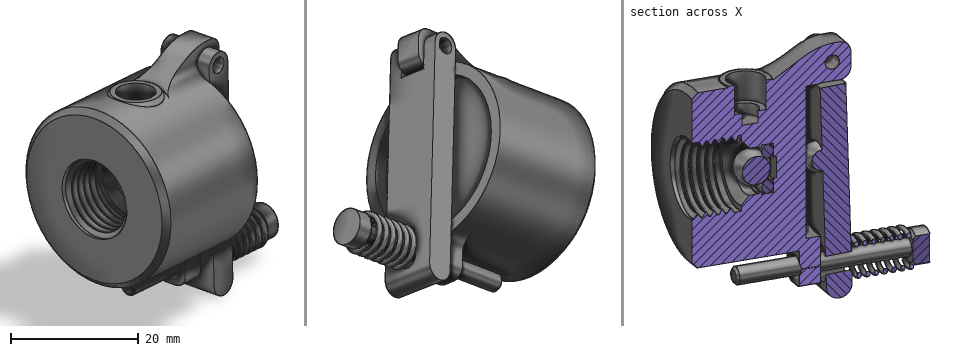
import cadquery as cq
import math


housing_radius = 15.0
housing_length = 21.85
front_chamfer = 1.0
recess_radius = 13.0
recess_depth = 2.25
root_fillet = 3.0
joint_depth = 2.0

thread_major_radius = 13.3 / 2
thread_minor_radius = 11.7 / 2
thread_pitch = 1.41
thread_start = 0.7
thread_turns = 5
ridge_root_width = 1.3
ridge_crest_width = 0.2
ridge_embed = 0.1
run_in_length = 2.8
run_in_angle = 60.0
inlet_depth = 8.5
inlet_floor_radius = 11.4 / 2
inlet_cone_half_angle = 45.0
inlet_cone_end_radius = 8.65 / 2
lip_radius = 8.2 / 2
lip_length = 0.5

ball_radius = 3.0
ring_mean_radius = 3.5
ring_wire_radius = 2.0 / 2
ring_outer_radius = ring_mean_radius + ring_wire_radius
ring_y = 13.0
relief_radius = ring_mean_radius - ring_wire_radius
relief_depth = 0.5
ball_y = ring_y - math.sqrt((ball_radius + ring_wire_radius) ** 2 - ring_mean_radius**2)

port_y = 10.0
port_top_z = 15.12
port_rim_radius = 8.2 / 2
port_draft = 34.0
port_radius = 6.35 / 2
port_depth = 5.0
port_tip_radius = 4.4 / 2
port_tip_depth = 2.0

hinge_z = 16.25
hinge_lug_reach = 3.25
hinge_lug_width = 4.6
hinge_lug_corner = 2.0
hinge_lug_hole = 2.35
hinge_lug_flat = 0.4
hinge_lug_arc_radius = 10.0
hinge_lug_slope = 30.0

screw_z = -18.0
screw_lug_width = 6.0
screw_lug_front = 18.4
screw_lug_back = 22.1
screw_lug_bottom = -21.0
screw_lug_corner = 2.0
screw_lug_hole = 3.5
screw_lug_hole_round = 0.5

arm_width = 10.0
arm_thickness = 4.5
arm_length = 38.0
arm_tilt = 1.85
arm_slot_width = 5.0
arm_slot_depth = 4.0
arm_hinge_hole = 2.7
arm_screw_slot_width = 3.5
arm_screw_slot_length = 6.5
button_radius = 2.5

screw_diameter = 3.0
screw_length = 30.0
screw_head_diameter = 6.0
screw_head_height = 3.0
screw_head_chamfer = 0.5
screw_end_chamfer = 0.45
screw_back = 40.89

spring_wire_radius = 0.4
spring_mean_radius = 3.2
spring_pitch = 1.5
spring_height = 10.0
spring_start_angle = 240.0
spring_inset = 0.12

half_thickness = arm_thickness / 2
hinge_y = housing_length + half_thickness
screw_head_face = screw_back - screw_head_height


def y_cylinder(radius, y_start, y_end, z=0.0):
    """Cylinder along +Y between two Y positions."""
    return cq.Workplane("XZ", origin=(0, y_start, z)).circle(radius).extrude(y_start - y_end)


def x_cylinder(diameter, length, y=0.0, z=0.0):
    """Cylinder along X, centred on X = 0."""
    return cq.Workplane("YZ", origin=(0, y, z)).circle(diameter / 2).extrude(length / 2, both=True)


def root_blend(half_width, side, y_start, y_end):
    """Flared root joining a lug of the given half width to the cylinder; side is +1 up, -1 down."""
    centre_x = half_width + root_fillet
    centre_z = math.sqrt((housing_radius + root_fillet) ** 2 - centre_x**2)
    touch = housing_radius / (housing_radius + root_fillet)
    floor_z = side * (housing_radius - joint_depth)
    flare = (
        cq.Workplane("XZ", origin=(0, y_start, 0))
        .moveTo(-centre_x * touch, floor_z)
        .lineTo(centre_x * touch, floor_z)
        .lineTo(centre_x * touch, side * centre_z)
        .lineTo(-centre_x * touch, side * centre_z)
        .close()
        .extrude(y_start - y_end)
    )
    for sign in (1, -1):
        hollow = y_cylinder(root_fillet, y_start, y_end, side * centre_z)
        flare = flare.cut(hollow.translate((sign * centre_x, 0, 0)))
    return flare


def hinge_lug_side(width):
    """Hinge lug outline in YZ, rounded at the back and sloping down to the front."""
    top_z = hinge_z + hinge_lug_reach
    bottom_z = hinge_z - hinge_lug_reach
    back_y = hinge_y + hinge_lug_reach
    slope = math.radians(hinge_lug_slope)
    arc_y = hinge_y + hinge_lug_flat
    arc_end_y = arc_y - hinge_lug_arc_radius * math.sin(slope)
    arc_end_z = top_z - hinge_lug_arc_radius * (1 - math.cos(slope))
    arc_mid_y = arc_y - hinge_lug_arc_radius * math.sin(slope / 2)
    arc_mid_z = top_z - hinge_lug_arc_radius * (1 - math.cos(slope / 2))
    toe_y = arc_end_y - (arc_end_z - bottom_z) / math.tan(slope)
    side = (
        cq.Workplane("YZ")
        .moveTo(back_y, bottom_z)
        .lineTo(back_y, top_z)
        .lineTo(arc_y, top_z)
        .threePointArc((arc_mid_y, arc_mid_z), (arc_end_y, arc_end_z))
        .lineTo(toe_y, bottom_z)
        .close()
        .extrude(width / 2, both=True)
    )
    return side.edges("|X and >Y").fillet(hinge_lug_corner)


def make_hinge_lug():
    lug = hinge_lug_side(hinge_lug_width)
    flare = root_blend(hinge_lug_width / 2, 1, 0, housing_length)
    flare = flare.intersect(hinge_lug_side(2 * housing_radius))
    return lug.union(flare).cut(x_cylinder(hinge_lug_hole, hinge_lug_width, hinge_y, hinge_z))


def make_screw_lug():
    top_z = joint_depth - housing_radius
    height = top_z - screw_lug_bottom + joint_depth
    depth = screw_lug_back - screw_lug_front
    centre = (0, (screw_lug_front + screw_lug_back) / 2, screw_lug_bottom + height / 2)
    lug = cq.Workplane("XY", origin=centre).box(screw_lug_width, depth, height)
    lug = lug.edges("|Y and <Z").fillet(screw_lug_corner)
    lug = lug.union(root_blend(screw_lug_width / 2, -1, screw_lug_front, housing_length))
    lug = lug.cut(y_cylinder(screw_lug_hole / 2, screw_lug_front, screw_lug_back, screw_z))
    hole_rim = cq.selectors.RadiusNthSelector(0)
    return lug.faces("<Y").edges("%CIRCLE").edges(hole_rim).fillet(screw_lug_hole_round)


def make_port_boss():
    height = port_top_z - housing_radius + joint_depth
    boss = cq.Workplane("XY", origin=(0, port_y, port_top_z)).circle(port_rim_radius)
    return boss.extrude(-height, taper=-port_draft)


def make_inlet():
    """Room for the thread, the ring and the ball, revolved about the housing axis."""
    cone_slope = math.tan(math.radians(inlet_cone_half_angle))
    cone_depth = (inlet_floor_radius - inlet_cone_end_radius) / cone_slope
    ring_front = ring_y - ring_wire_radius
    ring_back = ring_y + ring_wire_radius
    outline = [
        (0, 0),
        (thread_major_radius, 0),
        (thread_major_radius, inlet_depth),
        (inlet_floor_radius, inlet_depth),
        (inlet_cone_end_radius, inlet_depth + cone_depth),
        (inlet_cone_end_radius, ring_front - lip_length),
        (lip_radius, ring_front - lip_length),
        (lip_radius, ring_front),
        (ring_outer_radius, ring_front),
        (ring_outer_radius, ring_back),
        (relief_radius, ring_back),
        (relief_radius, ring_back + relief_depth),
        (0, ring_back + relief_depth),
    ]
    return cq.Workplane("XY").polyline(outline).close().revolve(360, (0, 0, 0), (0, 1, 0))


def make_run_in():
    """Wedge that slants the first end of the thread ridge."""
    slant = math.radians(run_in_angle)
    inner_x = thread_major_radius - run_in_length * math.cos(slant)
    inner_z = -run_in_length * math.sin(slant)
    corners = [(thread_major_radius, 0), (inner_x, inner_z), (inner_x, 0)]
    return cq.Workplane("XZ").polyline(corners).close().extrude(-thread_start - thread_pitch / 2)


def make_thread_ridge():
    helix = cq.Wire.makeHelix(thread_pitch, thread_pitch * thread_turns, thread_major_radius)
    half_root = ridge_root_width / 2
    half_crest = ridge_crest_width / 2
    outline = [
        (thread_major_radius + ridge_embed, -half_root),
        (thread_minor_radius, -half_crest),
        (thread_minor_radius, half_crest),
        (thread_major_radius + ridge_embed, half_root),
    ]
    ridge = cq.Workplane("XZ").polyline(outline).close().sweep(cq.Workplane(helix), isFrenet=True)
    ridge = ridge.rotate((0, 0, 0), (1, 0, 0), -90).translate((0, thread_start, 0))
    return ridge.cut(make_run_in())


def make_housing():
    body = y_cylinder(housing_radius, 0, housing_length).faces("<Y").chamfer(front_chamfer)
    body = body.union(make_hinge_lug()).union(make_screw_lug()).union(make_port_boss())
    body = body.cut(y_cylinder(recess_radius, housing_length - recess_depth, screw_lug_back))
    port = cq.Workplane("XY", origin=(0, port_y, port_top_z))
    body = body.cut(port.circle(port_radius).extrude(-port_depth))
    body = body.cut(port.circle(port_tip_radius).extrude(-port_depth - port_tip_depth))
    return body.cut(make_inlet()).union(make_thread_ridge())


def make_arm():
    """Lever built upright with its hinge axis at the origin, then tilted about it."""
    arm = cq.Workplane("YZ", origin=(0, 0, -arm_length / 2))
    arm = arm.slot2D(arm_length + arm_thickness, arm_thickness, 90).extrude(arm_width / 2, both=True)

    tilt = math.radians(arm_tilt)
    screw_spot = (screw_z - hinge_z) / math.cos(tilt)
    screw_slot = cq.Workplane("XZ", origin=(0, 0, screw_spot))
    screw_slot = screw_slot.slot2D(arm_screw_slot_length, arm_screw_slot_width, 90)
    arm = arm.cut(screw_slot.extrude(half_thickness, both=True))

    slot_height = arm_slot_depth + arm_thickness
    slot = cq.Workplane("XY", origin=(0, 0, -arm_slot_depth + slot_height / 2))
    arm = arm.cut(slot.box(arm_slot_width, 2 * arm_thickness, slot_height))
    arm = arm.cut(x_cylinder(arm_hinge_hole, arm_width))

    button_z = -hinge_z / math.cos(tilt)
    button = cq.Workplane("XY").sphere(button_radius).translate((0, -half_thickness, button_z))
    behind = cq.Workplane("XY", origin=(0, button_radius, button_z)).box(
        2 * button_radius, 2 * button_radius, 2 * button_radius)
    arm = arm.union(button.cut(behind))
    return arm.rotate((0, 0, 0), (1, 0, 0), arm_tilt).translate((0, hinge_y, hinge_z))


def make_screw():
    tip_y = screw_head_face - screw_length
    shank = y_cylinder(screw_diameter / 2, tip_y, screw_head_face, screw_z)
    shank = shank.faces("<Y").chamfer(screw_end_chamfer)
    head = y_cylinder(screw_head_diameter / 2, screw_head_face, screw_back, screw_z)
    return head.faces("<Y").chamfer(screw_head_chamfer).union(shank)


def make_spring():
    helix = cq.Wire.makeHelix(spring_pitch, spring_height, spring_mean_radius)
    spring = cq.Workplane("XZ").center(spring_mean_radius, 0).circle(spring_wire_radius)
    spring = spring.sweep(cq.Workplane(helix), isFrenet=True)
    spring = spring.rotate((0, 0, 0), (0, 0, 1), spring_start_angle).rotate((0, 0, 0), (1, 0, 0), 90)
    return spring.translate((0, screw_head_face + spring_inset, screw_z))


def make_ball():
    return cq.Workplane("XY").sphere(ball_radius).translate((0, ball_y, 0))


def make_ring():
    section = cq.Workplane("XY").center(ring_mean_radius, ring_y)
    axis_start = (-ring_mean_radius, 0, 0)
    axis_end = (-ring_mean_radius, 1, 0)
    return section.circle(ring_wire_radius).revolve(360, axis_start, axis_end)


housing = make_housing()
arm = make_arm()
screw = make_screw()
spring = make_spring()
ball = make_ball()
ring = make_ring()

result = cq.Compound.makeCompound(
    [
        housing.solids().val(),
        arm.solids().val(),
        screw.solids().val(),
        spring.val(),
        ball.val(),
        ring.val(),
    ]
)